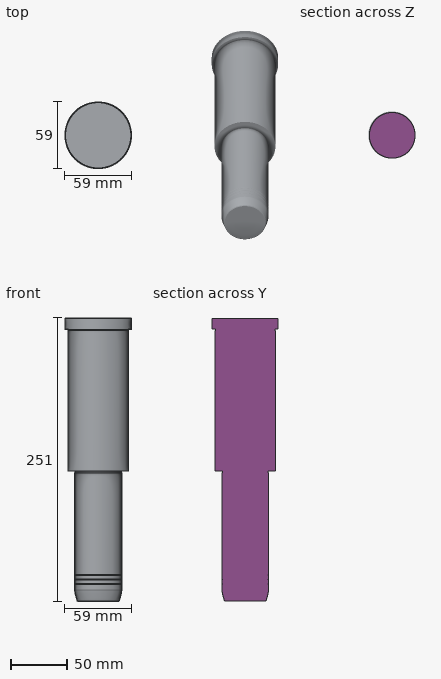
import cadquery as cq

total_length = 251.0
head_radius = 59.0 / 2
head_height = 10.0
body_radius = 54.0 / 2
body_length = 125.5
pin_radius = 42.0 / 2

rim_chamfer = 0.5

neck_depth = 0.5
head_neck_height = 1.0
pin_neck_height = 1.5

tip_radius = 37.0 / 2
tip_height = 10.0
tip_bulge = 0.3

groove_count = 3
groove_width = 1.0
groove_depth = 0.5
groove_pitch = 4.0
lowest_groove_z = 15.5

head_z = total_length - head_height
body_z = head_z - body_length


def cylinder(radius, bottom, top):
    return cq.Workplane("XY").workplane(offset=bottom).circle(radius).extrude(top - bottom)


def relief_neck(shaft_radius, top, height):
    """Square-sided ring to remove from a shaft just below a shoulder."""
    return cylinder(shaft_radius, top - height, top).cut(cylinder(shaft_radius - neck_depth, top - height, top))


def rounded_tip():
    """Tip whose side is an arc narrowing from the pin to the flat end."""
    middle_radius = (pin_radius + tip_radius) / 2 + tip_bulge
    return (
        cq.Workplane("XZ")
        .lineTo(tip_radius, 0)
        .threePointArc((middle_radius, tip_height / 2), (pin_radius, tip_height))
        .lineTo(0, tip_height)
        .close()
        .revolve(360, (0, 0, 0), (0, 1, 0))
    )


def v_groove(height):
    """V-sectioned ring centred at the given height, to be removed from the pin."""
    half_width = groove_width / 2
    return (
        cq.Workplane("XZ")
        .moveTo(pin_radius, height - half_width)
        .lineTo(pin_radius, height + half_width)
        .lineTo(pin_radius - groove_depth, height)
        .close()
        .revolve(360, (0, 0, 0), (0, 1, 0))
    )


head = cylinder(head_radius, head_z, total_length).faces(">Z").chamfer(rim_chamfer)
body = cylinder(body_radius, body_z, head_z)
pin = cylinder(pin_radius, tip_height, body_z)
tip = rounded_tip().faces("<Z").chamfer(rim_chamfer)
result = head.union(body).union(pin).union(tip)

result = result.cut(relief_neck(body_radius, head_z, head_neck_height))
result = result.cut(relief_neck(pin_radius, body_z, pin_neck_height))

for index in range(groove_count):
    result = result.cut(v_groove(lowest_groove_z + index * groove_pitch))